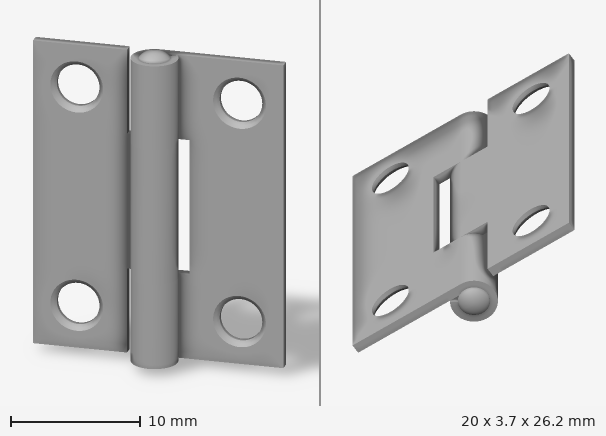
import cadquery as cq
import math

LEAF_SPAN = 20.0
LEAF_HEIGHT = 25.0
PIN_LENGTH = 26.2
LEAF_THICKNESS = 0.79
KNUCKLE_DIAMETER = 3.7
PIN_DIAMETER = 2.5

MIDDLE_KNUCKLE_HEIGHT = 11.1
NOTCH_EDGE_OFFSET = 2.5
CURL_END_ANGLE = 33.0

HOLE_OFFSET_X = 6.5
HOLE_OFFSET_Z = 9.0
HOLE_DIAMETER = 3.4
COUNTERSINK_DIAMETER = 4.22
COUNTERSINK_DEPTH = (COUNTERSINK_DIAMETER - HOLE_DIAMETER) / 2

KNUCKLE_RADIUS = KNUCKLE_DIAMETER / 2
PIN_RADIUS = PIN_DIAMETER / 2
LEAF_BACK_Y = KNUCKLE_RADIUS
LEAF_FRONT_Y = LEAF_BACK_Y - LEAF_THICKNESS
LEAF_EDGE_X = LEAF_SPAN / 2
OUTER_KNUCKLE_HEIGHT = (LEAF_HEIGHT - MIDDLE_KNUCKLE_HEIGHT) / 2
DOME_HEIGHT = (PIN_LENGTH - LEAF_HEIGHT) / 2


def curl_point(radius, angle):
    """Point on a circle about the pin axis, with the angle in degrees."""
    return (radius * math.cos(math.radians(angle)), radius * math.sin(math.radians(angle)))


def make_knuckle(bottom_z, height):
    """Strip that runs tangentially from the leaf and curls around the pin."""
    bore_start_x = math.sqrt(PIN_RADIUS**2 - LEAF_FRONT_Y**2)
    opposite_angle = CURL_END_ANGLE - 180
    return (
        cq.Workplane("XY", origin=(0, 0, bottom_z))
        .moveTo(NOTCH_EDGE_OFFSET, LEAF_BACK_Y)
        .lineTo(0, KNUCKLE_RADIUS)
        .threePointArc(curl_point(KNUCKLE_RADIUS, opposite_angle), curl_point(KNUCKLE_RADIUS, CURL_END_ANGLE))
        .lineTo(*curl_point(PIN_RADIUS, CURL_END_ANGLE))
        .threePointArc(curl_point(PIN_RADIUS, opposite_angle), (bore_start_x, LEAF_FRONT_Y))
        .lineTo(NOTCH_EDGE_OFFSET, LEAF_FRONT_Y)
        .close()
        .extrude(height)
    )


def make_screw_hole(z):
    """Cutter for one through hole, countersunk on the front face."""
    front = cq.Workplane("XZ", origin=(HOLE_OFFSET_X, LEAF_FRONT_Y, z))
    hole = front.circle(HOLE_DIAMETER / 2).extrude(-LEAF_THICKNESS)
    countersink = cq.Solid.makeCone(
        COUNTERSINK_DIAMETER / 2,
        HOLE_DIAMETER / 2,
        COUNTERSINK_DEPTH,
        pnt=cq.Vector(HOLE_OFFSET_X, LEAF_FRONT_Y, z),
        dir=cq.Vector(0, 1, 0),
    )
    return hole.union(cq.Workplane(countersink))


def make_leaf(knuckles):
    """Right-hand leaf with a knuckle for each (bottom z, height) pair."""
    leaf = cq.Workplane("XY").box(
        LEAF_EDGE_X - NOTCH_EDGE_OFFSET, LEAF_THICKNESS, LEAF_HEIGHT, centered=False
    ).translate((NOTCH_EDGE_OFFSET, LEAF_FRONT_Y, -LEAF_HEIGHT / 2))
    for bottom_z, height in knuckles:
        leaf = leaf.union(make_knuckle(bottom_z, height))
    for z in (-HOLE_OFFSET_Z, HOLE_OFFSET_Z):
        leaf = leaf.cut(make_screw_hole(z))
    return leaf


def make_pin():
    """Round pin with a spherical dome on each end."""
    shoulder_z = LEAF_HEIGHT / 2
    tip_z = PIN_LENGTH / 2
    dome_radius = (PIN_RADIUS**2 + DOME_HEIGHT**2) / (2 * DOME_HEIGHT)
    dome_center_z = tip_z - dome_radius
    half_angle = math.asin(PIN_RADIUS / dome_radius) / 2
    dome_mid_x = dome_radius * math.sin(half_angle)
    dome_mid_z = dome_center_z + dome_radius * math.cos(half_angle)
    return (
        cq.Workplane("XZ")
        .moveTo(0, -tip_z)
        .threePointArc((dome_mid_x, -dome_mid_z), (PIN_RADIUS, -shoulder_z))
        .lineTo(PIN_RADIUS, shoulder_z)
        .threePointArc((dome_mid_x, dome_mid_z), (0, tip_z))
        .close()
        .revolve(360, (0, 0, 0), (0, 1, 0))
    )


right_leaf = make_leaf(
    [
        (-LEAF_HEIGHT / 2, OUTER_KNUCKLE_HEIGHT),
        (MIDDLE_KNUCKLE_HEIGHT / 2, OUTER_KNUCKLE_HEIGHT),
    ]
)
left_leaf = make_leaf([(-MIDDLE_KNUCKLE_HEIGHT / 2, MIDDLE_KNUCKLE_HEIGHT)]).mirror("YZ")
pin = make_pin()

result = cq.Compound.makeCompound([right_leaf.val(), left_leaf.val(), pin.val()])